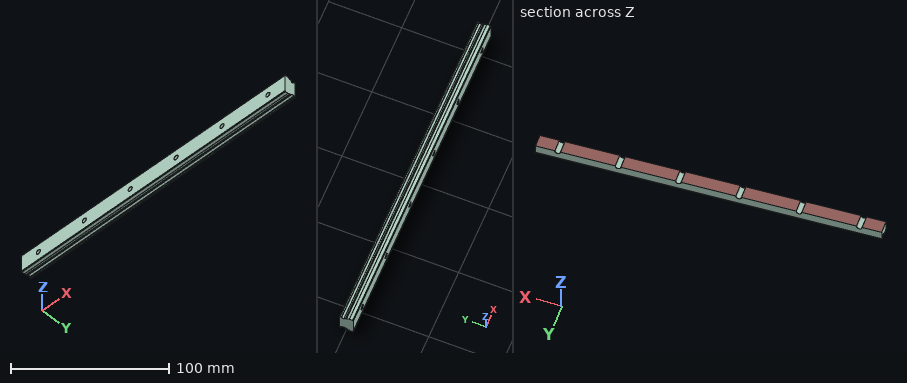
import cadquery as cq

length = 230.0
depth = 9.5
height = 15.0

back_height = 13.5
lip_depth = 1.4
groove_position = 3.0
groove_half_height = 5.5
groove_lip_half_height = 6.0
step_start = 4.1
step_end = 4.8
step_half_height = 6.7
land_depth = 2.8
front_chamfer = 0.5
back_chamfer = 0.5

hole_count = 6
hole_pitch = 40.0
hole_diameter = 3.5


def rail_body():
    """Extrude the mirrored V-grooved section along X, centred on the origin."""
    back = depth / 2
    front = -depth / 2
    upper_edge = [
        (back, back_height / 2 - back_chamfer),
        (back - back_chamfer, back_height / 2),
        (back - lip_depth, back_height / 2),
        (back - lip_depth, groove_lip_half_height),
        (back - groove_position, groove_half_height),
        (back - step_start, step_half_height),
        (back - step_end, step_half_height),
        (front + land_depth, height / 2),
        (front + front_chamfer, height / 2),
        (front, height / 2 - front_chamfer),
    ]
    lower_edge = [(y, -z) for y, z in reversed(upper_edge)]
    section = cq.Workplane("YZ").polyline(upper_edge + lower_edge).close()
    return section.extrude(length / 2, both=True)


def mounting_holes():
    """Row of cylinders through the full depth of the rail."""
    return (
        cq.Workplane("XZ")
        .rarray(hole_pitch, 2.3, hole_count, 1)
        .circle(hole_diameter / 2)
        .extrude(depth, both=True)
    )


result = rail_body().cut(mounting_holes())